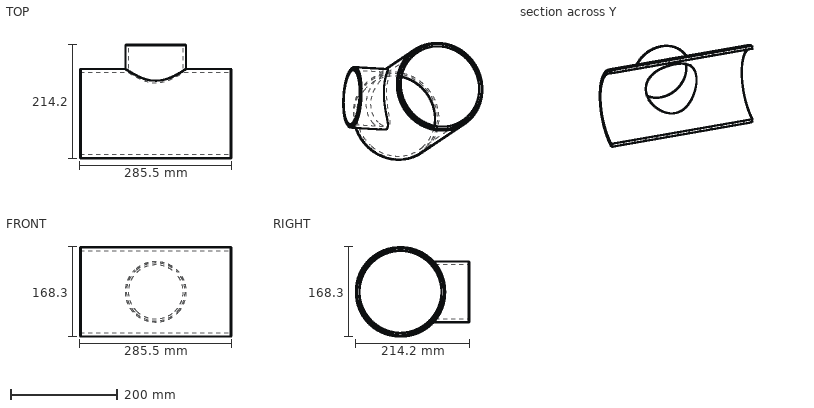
import cadquery as cq

RUN_OUTER_DIAMETER = 168.28
RUN_WALL = 7.11
RUN_LENGTH = 285.5

BRANCH_OUTER_DIAMETER = 114.3
BRANCH_WALL = 6.02
BRANCH_REACH = 130.05

END_BEVEL = RUN_WALL / 3


def run_cylinder(diameter):
    """Cylinder along X, centred on the origin, as long as the run."""
    return cq.Workplane("YZ").circle(diameter / 2).extrude(RUN_LENGTH / 2, both=True)


def branch_cylinder(diameter):
    """Cylinder along +Y from the run axis out to the branch end face."""
    return cq.Workplane("XZ").circle(diameter / 2).extrude(-BRANCH_REACH)


def make_run_body():
    """Solid run with both end rims bevelled."""
    return run_cylinder(RUN_OUTER_DIAMETER).faces("<X or >X").chamfer(END_BEVEL)


def make_branch_body():
    """Solid branch with its outer end rim bevelled."""
    return branch_cylinder(BRANCH_OUTER_DIAMETER).faces(">Y").chamfer(END_BEVEL)


def make_bores():
    """Run bore joined with the branch bore that opens into it."""
    run_bore = run_cylinder(RUN_OUTER_DIAMETER - 2 * RUN_WALL)
    branch_bore = branch_cylinder(BRANCH_OUTER_DIAMETER - 2 * BRANCH_WALL)
    return run_bore.union(branch_bore)


result = make_run_body().union(make_branch_body()).cut(make_bores())